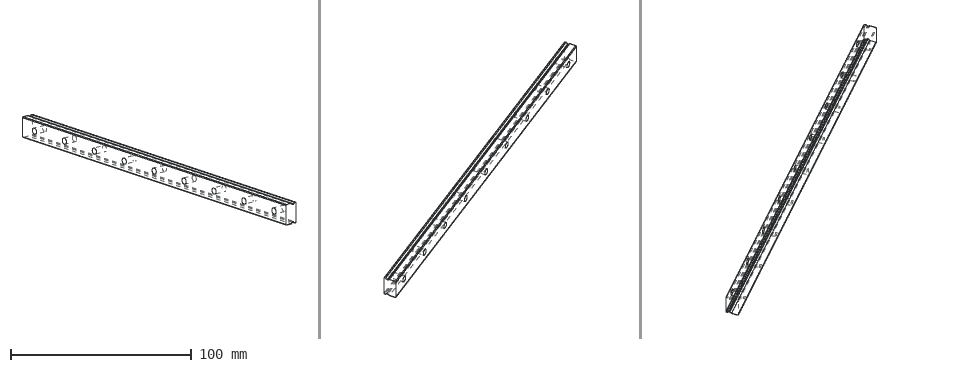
import cadquery as cq
import math

RAIL_LENGTH = 220.0
RAIL_HEIGHT = 7.5
RAIL_WIDTH = 12.0
HALF_WIDTH = RAIL_WIDTH / 2

BASE_CHAMFER = 0.5
HEAD_CHAMFER = 0.3

GROOVE_RADIUS = 1.3
GROOVE_DEPTH = 0.7
GROOVE_HEIGHT = 5.3

RELIEF_WIDTH = 0.3
RELIEF_DEPTH = 0.3

HOLE_DIAMETER = 3.5
HOLE_PITCH = 25.0
HOLE_COUNT = 9


def half_profile():
    """Rail cross-section from the centre plane out to the +Z side, drawn in Y and Z."""
    axis_z = HALF_WIDTH + GROOVE_RADIUS - GROOVE_DEPTH
    half_mouth = math.sqrt(GROOVE_RADIUS**2 - (axis_z - HALF_WIDTH) ** 2)

    half_relief = RELIEF_WIDTH / 2
    relief_top_z = axis_z - math.sqrt(GROOVE_RADIUS**2 - half_relief**2)
    relief_floor_z = HALF_WIDTH - GROOVE_DEPTH - RELIEF_DEPTH

    mouth_angle = math.asin(half_mouth / GROOVE_RADIUS)
    relief_angle = math.asin(half_relief / GROOVE_RADIUS)
    flank_angle = (mouth_angle + relief_angle) / 2
    flank_y = GROOVE_RADIUS * math.sin(flank_angle)
    flank_z = axis_z - GROOVE_RADIUS * math.cos(flank_angle)

    return (
        cq.Workplane("YZ", origin=(-RAIL_LENGTH / 2, 0, 0))
        .moveTo(0, 0)
        .lineTo(0, HALF_WIDTH - BASE_CHAMFER)
        .lineTo(BASE_CHAMFER, HALF_WIDTH)
        .lineTo(GROOVE_HEIGHT - half_mouth, HALF_WIDTH)
        .threePointArc((GROOVE_HEIGHT - flank_y, flank_z), (GROOVE_HEIGHT - half_relief, relief_top_z))
        .lineTo(GROOVE_HEIGHT - half_relief, relief_floor_z)
        .lineTo(GROOVE_HEIGHT + half_relief, relief_floor_z)
        .lineTo(GROOVE_HEIGHT + half_relief, relief_top_z)
        .threePointArc((GROOVE_HEIGHT + flank_y, flank_z), (GROOVE_HEIGHT + half_mouth, HALF_WIDTH))
        .lineTo(RAIL_HEIGHT - HEAD_CHAMFER, HALF_WIDTH)
        .lineTo(RAIL_HEIGHT, HALF_WIDTH - HEAD_CHAMFER)
        .lineTo(RAIL_HEIGHT, 0)
    )


def make_rail():
    """Bar with chamfered long edges and a ball groove along each side."""
    return half_profile().mirrorX().extrude(RAIL_LENGTH)


def cut_mounting_holes(rail):
    """Drill the centred row of plain holes through the rail along Y."""
    holes = (
        cq.Workplane("XZ")
        .rarray(HOLE_PITCH, 1, HOLE_COUNT, 1)
        .circle(HOLE_DIAMETER / 2)
        .extrude(-RAIL_HEIGHT)
    )
    return rail.cut(holes)


result = cut_mounting_holes(make_rail())